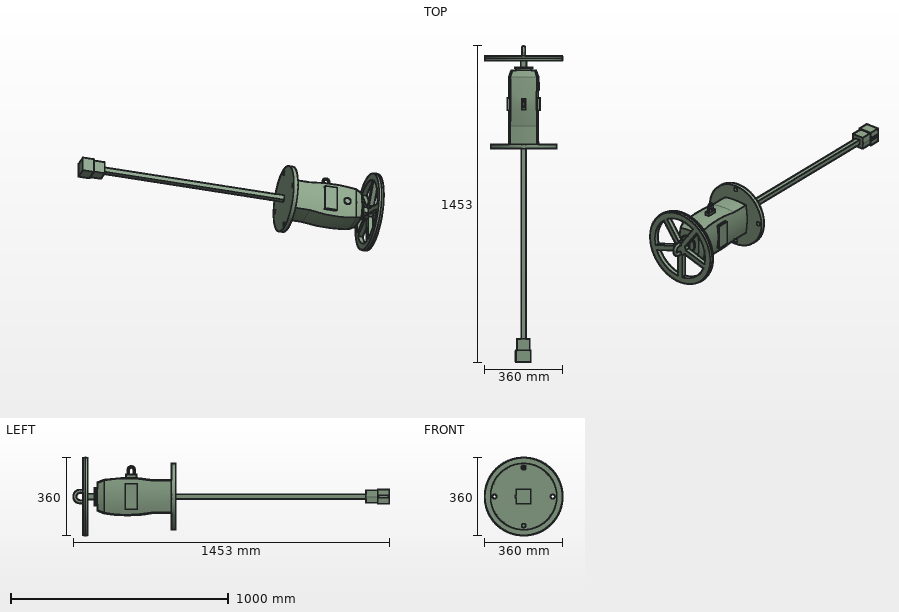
import cadquery as cq
total_length = 1453.0

shaft_length = 981.0
shaft_width = 23.0
neck_width = 58.0
socket_width = 67.0
socket_length = 54.0
coupling_length = 108.0
side_ridge_height = 2.2
rib_height = 12.0
rib_reach = 5.0
rib_end_gap = 5.0

flange_diameter = 305.0
flange_thickness = 20.0
bolt_hole_diameter = 19.0
bolt_circle_radius = 134.0
bolt_count = 4

corner_x = 61.0
side_bow_x = 68.0
corner_drop = 5.0
body_half_height = 77.0
barrel_start_y = 106.0
barrel_peak_y = 200.0
barrel_peak_half_height = 87.0
barrel_end_y = 330.0
barrel_end_half_height = 78.0
body_end_y = 360.0
taper_scale = 0.84

pad_reach_x = 75.0
pad_length = 57.0
pad_height = 116.0
pad_y = 205.0
plug_diameter = 32.0
plug_reach_x = 71.0
plug_y = 286.0

lug_length = 50.0
lug_width = 19.0
lug_top_z = 102.0
lug_eye_top_z = 141.0
lug_eye_outer_radius = 17.0
lug_eye_wire = 8.0

collar_diameter = 83.0
collar_root_diameter = 73.0
collar_front_y = 369.0
collar_back_y = 375.0
stem_width = 28.0
wheel_diameter = 360.0
wheel_face_diameter = 356.0
wheel_inner_diameter = 296.0
wheel_front_y = 404.0
wheel_thickness = 23.0
wheel_hub_diameter = 67.0
spoke_count = 5
spoke_width = 25.0
rear_eye_outer_radius = 32.0
rear_eye_wire = 16.0

wheel_back_y = wheel_front_y + wheel_thickness


def box_along_y(width, height, start, end):
    """Box centred on the Y axis, between two Y positions."""
    return cq.Workplane("XY").box(width, end - start, height).translate((0, (start + end) / 2, 0))


def disc_along_y(diameter, start, end):
    """Disc centred on the Y axis, between two Y positions."""
    return cq.Workplane("XZ", origin=(0, start, 0)).circle(diameter / 2).extrude(start - end)


def ridged_block(width, start, end):
    """Square block along Y whose -X side rises to a faint ridge at mid-height."""
    half = width / 2
    outline = [(half, -half), (half, half), (-half, half), (-half - side_ridge_height, 0), (-half, -half)]
    return cq.Workplane("XZ", origin=(0, start, 0)).polyline(outline).close().extrude(start - end)


def make_shaft():
    tip_y = -shaft_length
    socket_end_y = tip_y + socket_length
    shaft = box_along_y(shaft_width, shaft_width, tip_y, flange_thickness)
    socket = ridged_block(socket_width, tip_y, socket_end_y)
    neck = ridged_block(neck_width, socket_end_y, tip_y + coupling_length)
    rib_depth = socket_width / 2 + rib_reach
    rib = box_along_y(rib_depth, rib_height, tip_y + rib_end_gap, socket_end_y - rib_end_gap)
    return shaft.union(neck).union(socket).union(rib.translate((-rib_depth / 2, 0, 0)))


def make_flange():
    holes = (
        cq.Workplane("XZ")
        .polarArray(bolt_circle_radius, 0, 360, bolt_count)
        .circle(bolt_hole_diameter / 2)
        .extrude(-flange_thickness)
    )
    return disc_along_y(flange_diameter, 0, flange_thickness).cut(holes)


def crowned_section(y, half_height):
    """Outline with straight sides and a shallow crowned top and bottom."""
    z = half_height - corner_drop * (side_bow_x / corner_x) ** 2
    return (
        cq.Workplane("XZ", origin=(0, y, 0))
        .moveTo(-side_bow_x, -z)
        .threePointArc((0, -half_height), (side_bow_x, -z))
        .lineTo(side_bow_x, z)
        .threePointArc((0, half_height), (-side_bow_x, z))
        .close()
    )


def loft(sections):
    """Solid through a row of closed outlines."""
    return cq.Workplane(cq.Solid.makeLoft([section.wire().val() for section in sections]))


def make_housing():
    front = crowned_section(flange_thickness, body_half_height).extrude(flange_thickness - barrel_start_y)
    barrel_sections = [
        crowned_section(barrel_start_y, body_half_height),
        crowned_section(barrel_peak_y, barrel_peak_half_height),
        crowned_section(barrel_end_y, barrel_end_half_height),
    ]
    body = front.union(loft(barrel_sections))
    corner_z = body_half_height - corner_drop
    side_bow = side_bow_x - corner_x
    side_radius = (corner_z**2 + side_bow**2) / (2 * side_bow)
    side_centre_x = side_radius - side_bow_x
    for side in (-1, 1):
        axis = cq.Workplane("XZ", origin=(-side * side_centre_x, flange_thickness, 0))
        body = body.intersect(axis.circle(side_radius).extrude(flange_thickness - barrel_end_y))
    return body.union(make_taper(body))


def make_taper(body):
    """Rear end that narrows evenly from the rear outline of the body."""
    outline = body.faces(">Y").wires().val()
    centred = outline.translate(cq.Vector(0, -barrel_end_y, 0))
    end_outline = centred.scale(taper_scale).translate(cq.Vector(0, body_end_y, 0))
    return cq.Workplane(cq.Solid.makeLoft([outline, end_outline], True))


def make_pads_and_plug():
    pads = cq.Workplane("XY").box(2 * pad_reach_x, pad_length, pad_height).translate((0, pad_y, 0))
    plug = cq.Workplane("YZ").center(plug_y, 0).circle(plug_diameter / 2).extrude(plug_reach_x)
    return pads.union(plug)


def make_eye(outer_radius, wire, leg_length):
    """Round-wire arch in the YZ plane, open downward, with its arc centre at the origin."""
    radius = outer_radius - wire / 2
    path = (
        cq.Workplane("YZ")
        .moveTo(-radius, -leg_length)
        .lineTo(-radius, 0)
        .threePointArc((0, radius), (radius, 0))
        .lineTo(radius, -leg_length)
    )
    start = cq.Workplane("XY", origin=(0, -radius, -leg_length))
    return start.circle(wire / 2).sweep(path)


def make_lifting_lug():
    block = cq.Workplane("XY").rect(lug_width, lug_length).extrude(lug_top_z).translate((0, pad_y, 0))
    arc_centre_z = lug_eye_top_z - lug_eye_outer_radius
    leg_length = arc_centre_z - lug_top_z + lug_eye_wire
    eye = make_eye(lug_eye_outer_radius, lug_eye_wire, leg_length)
    return block.union(eye.translate((0, pad_y, arc_centre_z)))


def make_collar_and_stem():
    root = disc_along_y(collar_root_diameter, body_end_y, collar_front_y)
    collar = disc_along_y(collar_diameter, collar_front_y, collar_back_y)
    stem = box_along_y(stem_width, stem_width, body_end_y, wheel_back_y)
    return root.union(collar).union(stem)


def make_handwheel():
    inner_radius = wheel_inner_diameter / 2
    outer_radius = wheel_diameter / 2
    face_radius = wheel_face_diameter / 2
    middle_y = (wheel_front_y + wheel_back_y) / 2
    rim = (
        cq.Workplane("XY")
        .moveTo(inner_radius, wheel_front_y)
        .lineTo(face_radius, wheel_front_y)
        .lineTo(outer_radius, middle_y)
        .lineTo(face_radius, wheel_back_y)
        .lineTo(inner_radius, wheel_back_y)
        .close()
        .revolve(360, (0, 0), (0, 1))
    )
    wheel = rim.union(disc_along_y(wheel_hub_diameter, wheel_front_y, wheel_back_y))
    spoke_length = (inner_radius + face_radius) / 2
    spoke = (
        cq.Workplane("XY")
        .box(spoke_width, wheel_thickness, spoke_length)
        .translate((0, middle_y, -spoke_length / 2))
    )
    for index in range(spoke_count):
        wheel = wheel.union(spoke.rotate((0, 0, 0), (0, 1, 0), index * 360 / spoke_count))
    return wheel


def make_rear_eye():
    arc_centre_y = total_length - shaft_length - rear_eye_outer_radius
    leg_length = arc_centre_y - wheel_back_y + rear_eye_wire
    eye = make_eye(rear_eye_outer_radius, rear_eye_wire, leg_length)
    return eye.rotate((0, 0, 0), (1, 0, 0), -90).translate((0, arc_centre_y, 0))


result = (
    make_housing()
    .union(make_flange())
    .union(make_shaft())
    .union(make_pads_and_plug())
    .union(make_lifting_lug())
    .union(make_collar_and_stem())
    .union(make_handwheel())
    .union(make_rear_eye())
)